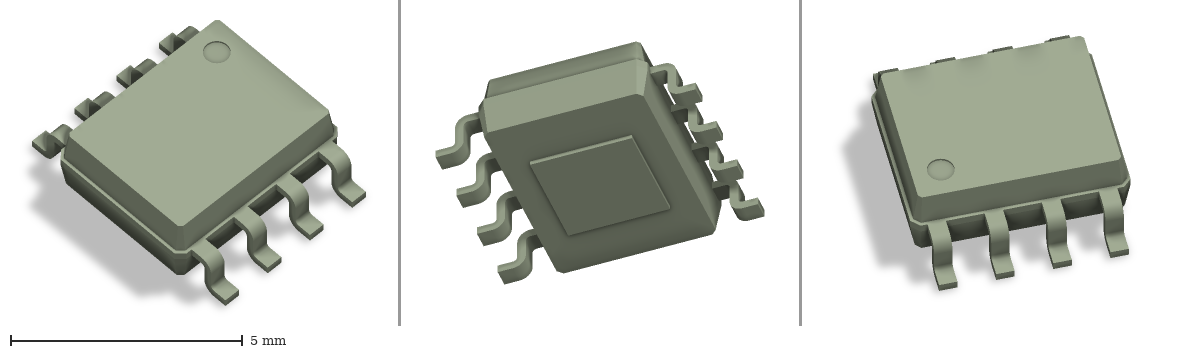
import cadquery as cq

LENGTH_X = 6.0
BODY_X = 3.9
BODY_Y = 4.9
HEIGHT = 1.75

STANDOFF = 0.1
RIM_TOP = 1.025
RIM_CORNER = 0.186
LEDGE = 0.075
DRAFT_ANGLE = 9.0

LEAD_THICKNESS = 0.2
LEAD_WIDTH = 0.41
LEAD_PITCH = 1.27
LEADS_PER_SIDE = 4
FOOT_FLAT = 0.35
INNER_RADIUS = 0.1
LEAD_EMBED = 0.3

PAD_SIZE = 2.35
PAD_EMBED = 0.1

MARKER_DIAMETER = 0.6
MARKER_DEPTH = 0.05
MARKER_X = -1.11
MARKER_Y = 1.61

RIM_BOTTOM = RIM_TOP - LEAD_THICKNESS
OUTER_RADIUS = INNER_RADIUS + LEAD_THICKNESS


def rim_outline(z):
    """Rectangle with 45 degree corners, at height z."""
    half_x = BODY_X / 2
    half_y = BODY_Y / 2
    cut_x = half_x - RIM_CORNER
    cut_y = half_y - RIM_CORNER
    points = [
        (half_x, -cut_y),
        (half_x, cut_y),
        (cut_x, half_y),
        (-cut_x, half_y),
        (-half_x, cut_y),
        (-half_x, -cut_y),
        (-cut_x, -half_y),
        (cut_x, -half_y),
    ]
    return cq.Workplane("XY").workplane(offset=z).polyline(points).close()


def make_body():
    rim = rim_outline(RIM_BOTTOM).extrude(RIM_TOP - RIM_BOTTOM)
    upper = (
        rim_outline(RIM_TOP)
        .offset2D(-LEDGE, "intersection")
        .extrude(HEIGHT - RIM_TOP, taper=DRAFT_ANGLE)
    )
    lower = rim_outline(RIM_BOTTOM).extrude(STANDOFF - RIM_BOTTOM, taper=DRAFT_ANGLE)
    return rim.union(upper).union(lower)


def make_lead():
    """One lead on the -X side, centred on Y = 0, standing on Z = 0."""
    tip = -LENGTH_X / 2
    foot_end = tip + FOOT_FLAT
    shank_outer = foot_end + INNER_RADIUS
    shank_inner = shank_outer + LEAD_THICKNESS
    shoulder = shank_outer + OUTER_RADIUS
    root = -BODY_X / 2 + LEAD_EMBED
    lower_bend_z = OUTER_RADIUS
    upper_bend_z = RIM_TOP - OUTER_RADIUS

    profile = (
        cq.Workplane("XZ")
        .moveTo(tip, 0)
        .lineTo(foot_end, 0)
        .radiusArc((shank_inner, lower_bend_z), -OUTER_RADIUS)
        .lineTo(shank_inner, upper_bend_z)
        .radiusArc((shoulder, RIM_BOTTOM), INNER_RADIUS)
        .lineTo(root, RIM_BOTTOM)
        .lineTo(root, RIM_TOP)
        .lineTo(shoulder, RIM_TOP)
        .radiusArc((shank_outer, upper_bend_z), -OUTER_RADIUS)
        .lineTo(shank_outer, lower_bend_z)
        .radiusArc((foot_end, LEAD_THICKNESS), INNER_RADIUS)
        .lineTo(tip, LEAD_THICKNESS)
        .close()
    )
    return profile.extrude(LEAD_WIDTH / 2, both=True)


def add_leads(body):
    left_lead = make_lead()
    right_lead = left_lead.mirror("YZ")
    for index in range(LEADS_PER_SIDE):
        y = (index - (LEADS_PER_SIDE - 1) / 2) * LEAD_PITCH
        body = body.union(left_lead.translate((0, y, 0)))
        body = body.union(right_lead.translate((0, y, 0)))
    return body


def make_pad():
    pad_height = STANDOFF + PAD_EMBED
    return cq.Workplane("XY").rect(PAD_SIZE, PAD_SIZE).extrude(pad_height)


def make_marker_recess():
    return (
        cq.Workplane("XY")
        .workplane(offset=HEIGHT - MARKER_DEPTH)
        .center(MARKER_X, MARKER_Y)
        .circle(MARKER_DIAMETER / 2)
        .extrude(MARKER_DEPTH)
    )


package = add_leads(make_body()).union(make_pad())
result = package.cut(make_marker_recess())